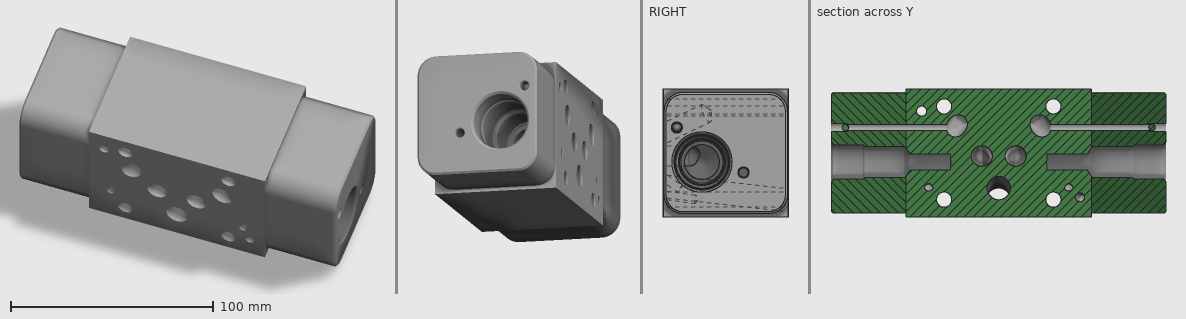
import cadquery as cq
import math

TOTAL_LENGTH = 165.9
BLOCK_LENGTH = 92.2
BLOCK_DEPTH = 61.9
BLOCK_HEIGHT = 63.5
CAP_DEPTH = 61.0
CAP_HEIGHT = 60.0
CAP_CORNER_RADIUS = 9.5
CAP_CHAMFER = 1.0

HALF_LENGTH = TOTAL_LENGTH / 2
BLOCK_END = BLOCK_LENGTH / 2
CAP_LENGTH = HALF_LENGTH - BLOCK_END
FRONT_FACE = -BLOCK_DEPTH / 2

DRILL_TIP_SLOPE = math.tan(math.radians(59))

CAVITY_Y = -11.8
CAVITY_Z = -4.5
MOUTH_RADIUS = 15.0
LEAD_IN_RADIUS = 14.3
MOUTH_CHAMFER = MOUTH_RADIUS - LEAD_IN_RADIUS
LEAD_IN_LENGTH = 0.7
BORE_RADIUS = 13.8
BORE_END = 67.0
BORE_CONE_LENGTH = 0.7
MIDDLE_RADIUS = 13.3
TAPER_START = 46.5
TAPER_END = 44.0
TAPER_END_RADIUS = 11.6
SEAT_START = 24.0
SEAT_START_RADIUS = 11.1
SEAT_END = 23.2
SEAT_END_RADIUS = 10.5
NOSE_RADIUS = 8.6
NOSE_END = 7.8

END_HOLE_RADIUS = 2.3
END_HOLE_CHAMFER = 0.41
PLAIN_HOLE_Y = 8.8
PLAIN_HOLE_Z = -9.6
PILOT_Y = -24.2
PILOT_Z = 12.6
PILOT_RADIUS = 2.0
PILOT_END = 24.9

BALL_RADIUS = END_HOLE_RADIUS
BALL_HOLE_DEPTH = 8.3
BALL_SEAT = -HALF_LENGTH + BALL_HOLE_DEPTH
BALL_X = BALL_SEAT - math.sqrt(BALL_RADIUS**2 - PILOT_RADIUS**2)

BOLT_X = 27.0
BOLT_Z = 23.0
BOLT_DIAMETER = 7.3

DOWEL_X = 38.2
DOWEL_Z = 20.7
DOWEL_DIAMETER = 4.8

SLANT_HOLE_DIAMETER = 4.1
SLANT_HOLE_DEPTH = 16.6
SLANT_HOLE_TILT = 16.0
SLANT_HOLE_HEADING = -30.0

PRESSURE_Z = -16.5
PRESSURE_EXIT_Z = -23.4
PRESSURE_DIAMETER = 11.3
PRESSURE_TILT = math.degrees(math.atan2(PRESSURE_Z - PRESSURE_EXIT_Z, BLOCK_DEPTH))

UPPER_PORT_X = 23.7
UPPER_PORT_Z = 9.5
UPPER_PORT_DIAMETER = 9.6
UPPER_PORT_DEPTH = 24.9
UPPER_PORT_TILT = 31.0
UPPER_PORT_HEADING = 53.0

MIDDLE_PORT_X = 10.3
MIDDLE_PORT_Z = -1.5
MIDDLE_PORT_DIAMETER = 10.0
MIDDLE_PORT_DEPTH = 14.1
MIDDLE_PORT_TILT = 13.0

DRAIN_X = 34.7
DRAIN_Z = -12.0
DRAIN_DIAMETER = 4.0
DRAIN_DEPTH = 10.0
DRAIN_TILT = 35.0

RIGHTWARD = 0.0
DOWNWARD = -90.0
X_AXIS = cq.Vector(1, 0, 0)


def mirrored(body):
    """The same body on the other side of the middle plane X = 0."""
    return body.mirror("YZ")


def front_drill(x, z, diameter, depth, tilt=0.0, heading=RIGHTWARD, ball_nose=False):
    """Drill that enters the front face at (x, z), `depth` long below it along its axis, plus its tip."""
    tilt = math.radians(tilt)
    heading = math.radians(heading)
    sideways = math.sin(tilt)
    axis = cq.Vector(sideways * math.cos(heading), math.cos(tilt), sideways * math.sin(heading))
    entry = cq.Vector(x, FRONT_FACE, z)
    bottom = entry + axis * depth
    radius = diameter / 2
    lead = diameter
    shank = cq.Solid.makeCylinder(radius, depth + lead, entry - axis * lead, axis)
    if ball_nose:
        tip = cq.Workplane("XY").sphere(radius).translate(bottom.toTuple()).val()
    else:
        tip = cq.Solid.makeCone(radius, 0, radius / DRILL_TIP_SLOPE, bottom, axis)
    return cq.Workplane(shank.fuse(tip))


def end_drill(y, z, radius, x_from, x_to):
    """Straight drill along X."""
    return cq.Workplane(cq.Solid.makeCylinder(radius, x_to - x_from, cq.Vector(x_from, y, z), X_AXIS))


def countersink(y, z):
    """Chamfer of a small hole in the left end face."""
    cone = cq.Solid.makeCone(
        END_HOLE_RADIUS + END_HOLE_CHAMFER,
        END_HOLE_RADIUS,
        END_HOLE_CHAMFER,
        cq.Vector(-HALF_LENGTH, y, z),
        X_AXIS,
    )
    return cq.Workplane(cone)


def left_cavity():
    """Stepped bore from the left end: mouth, bore, taper, seat and drilled nose."""
    lead_in_start = -HALF_LENGTH + MOUTH_CHAMFER
    profile = [
        (-HALF_LENGTH, 0),
        (-HALF_LENGTH, MOUTH_RADIUS),
        (lead_in_start, LEAD_IN_RADIUS),
        (lead_in_start + LEAD_IN_LENGTH, BORE_RADIUS),
        (-BORE_END, BORE_RADIUS),
        (-BORE_END + BORE_CONE_LENGTH, MIDDLE_RADIUS),
        (-TAPER_START, MIDDLE_RADIUS),
        (-TAPER_END, TAPER_END_RADIUS),
        (-SEAT_START, TAPER_END_RADIUS),
        (-SEAT_START, SEAT_START_RADIUS),
        (-SEAT_END, SEAT_END_RADIUS),
        (-SEAT_END, NOSE_RADIUS),
        (-NOSE_END, NOSE_RADIUS),
        (-NOSE_END + NOSE_RADIUS / DRILL_TIP_SLOPE, 0),
    ]
    cavity = cq.Workplane("XY").polyline(profile).close().revolve(360, (0, 0, 0), (1, 0, 0))
    return cavity.translate((0, CAVITY_Y, CAVITY_Z))


def left_pilot():
    """Long pilot hole from the left end into the upper port, wider where the ball sits."""
    ball_hole = end_drill(PILOT_Y, PILOT_Z, END_HOLE_RADIUS, -HALF_LENGTH, BALL_SEAT)
    narrow_hole = end_drill(PILOT_Y, PILOT_Z, PILOT_RADIUS, BALL_SEAT, -PILOT_END)
    return ball_hole.union(narrow_hole)


def make_block():
    block = cq.Workplane("XY").box(BLOCK_LENGTH, BLOCK_DEPTH, BLOCK_HEIGHT)

    for x in (-BOLT_X, BOLT_X):
        for z in (-BOLT_Z, BOLT_Z):
            block = block.cut(front_drill(x, z, BOLT_DIAMETER, BLOCK_DEPTH))
    block = block.cut(front_drill(-DOWEL_X, DOWEL_Z, DOWEL_DIAMETER, BLOCK_DEPTH))
    block = block.cut(
        front_drill(
            DOWEL_X, -DOWEL_Z, SLANT_HOLE_DIAMETER, SLANT_HOLE_DEPTH,
            SLANT_HOLE_TILT, SLANT_HOLE_HEADING,
        )
    )

    through_depth = BLOCK_DEPTH + PRESSURE_DIAMETER
    block = block.cut(
        front_drill(0, PRESSURE_Z, PRESSURE_DIAMETER, through_depth, PRESSURE_TILT, DOWNWARD)
    )

    upper_port = front_drill(
        -UPPER_PORT_X, UPPER_PORT_Z, UPPER_PORT_DIAMETER, UPPER_PORT_DEPTH,
        UPPER_PORT_TILT, UPPER_PORT_HEADING,
    )
    middle_port = front_drill(
        -MIDDLE_PORT_X, MIDDLE_PORT_Z, MIDDLE_PORT_DIAMETER, MIDDLE_PORT_DEPTH,
        MIDDLE_PORT_TILT, ball_nose=True,
    )
    drain = front_drill(-DRAIN_X, DRAIN_Z, DRAIN_DIAMETER, DRAIN_DEPTH, DRAIN_TILT, DOWNWARD)
    for tool in (left_cavity(), left_pilot(), upper_port, middle_port, drain):
        block = block.cut(tool).cut(mirrored(tool))
    return block


def make_left_cap():
    cap = (
        cq.Workplane("YZ", origin=(-HALF_LENGTH, 0, 0))
        .rect(CAP_DEPTH, CAP_HEIGHT)
        .extrude(CAP_LENGTH)
        .edges("|X")
        .fillet(CAP_CORNER_RADIUS)
        .faces("<X")
        .chamfer(CAP_CHAMFER)
    )
    plain_hole = end_drill(PLAIN_HOLE_Y, PLAIN_HOLE_Z, END_HOLE_RADIUS, -HALF_LENGTH, -BLOCK_END)
    for tool in (left_cavity(), left_pilot(), plain_hole):
        cap = cap.cut(tool)
    for y, z in ((PILOT_Y, PILOT_Z), (PLAIN_HOLE_Y, PLAIN_HOLE_Z)):
        cap = cap.cut(countersink(y, z))
    return cap


def make_left_ball():
    return cq.Workplane("XY").sphere(BALL_RADIUS).translate((BALL_X, PILOT_Y, PILOT_Z))


block = make_block()
bodies = [block.solids().val()]
for left_body in (make_left_cap(), make_left_ball()):
    bodies += [left_body.solids().val(), mirrored(left_body).solids().val()]

result = cq.Compound.makeCompound(bodies)